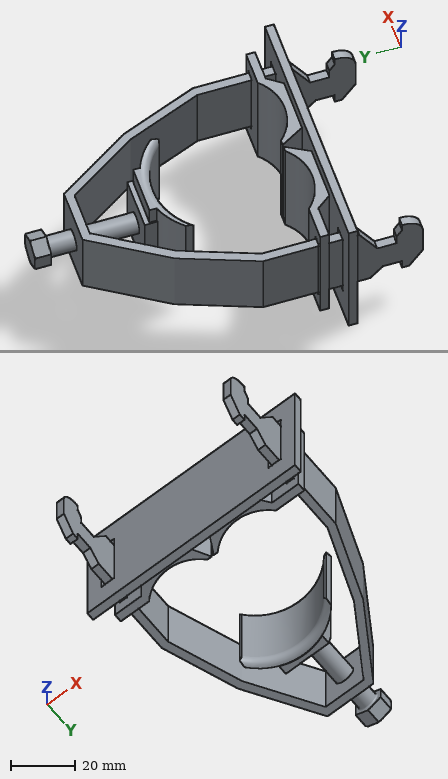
import cadquery as cq

OVERALL_LENGTH = 117.2
SHEET = 2.9

PLATE_WIDTH = 82.5
PLATE_HEIGHT = 50.0
SLOT_WIDTH = 5.0
SLOT_HEIGHT = 27.3

STRAP_HEIGHT = 25.0
STRAP_TOP = 79.3
LEG_OUTER = 34.6
LEG_CENTRE = LEG_OUTER - SHEET / 2
LOWER_BEND = (LEG_OUTER, 28.7)
UPPER_BEND = (24.8, 54.5)
CROWN_HALF_WIDTH = 9.1
HOOK_DEPTH = 23.7

UPPER_SLOPE_START = -2.8
UPPER_NECK_START = -8.7
THROAT_END = -15.0
BARB_BACK = -16.8
LOWER_BEVEL_END = -19.1
LOWER_NECK_START = -10.5
LOWER_SLOPE_START = -6.3
NECK_TOP = 2.6
THROAT_TOP = 6.1
BARB_BEVEL_TOP = 8.8
BARB_HALF_SPAN = 11.5
BARB_RADIUS = 6.1
LOWER_BEVEL_TOP = -4.8
NECK_BOTTOM = -8.0

CRADLE_HEIGHT = 40.0
CRADLE_TOP = 10.7
CRADLE_OUTER = 36.5
CRADLE_INNER = 0.4
FLANGE_ROOT = 25.9
FOOT_OUTER = 22.4
FOOT_INNER = 4.7
TROUGH_OUTER = 25.2
TROUGH_INNER = 2.1
TROUGH_BOTTOM = 5.6

BOLT_TOP = OVERALL_LENGTH - HOOK_DEPTH
HEAD_HEIGHT = 5.4
HEAD_CORNERS = 11.5
SHAFT_DIAMETER = 6.9
NECK_FILLET = 0.5
HEAD_BEVEL = 0.4

SADDLE_BACK = 58.8
SADDLE_HEIGHT = 33.9
SADDLE_HALF_WIDTH = 17.2
SADDLE_FRONT = 45.7
SHELL_OUTER_CROWN = 56.3
SHELL_OUTER_END = 48.3
SHELL_INNER_CROWN = 53.2
SHELL_INNER_HALF_WIDTH = 16.3
SHELL_EDGE_RADIUS = 2.8
BLOCK_HALF_WIDTH = 8.1
BLOCK_BACK = 57.1
PAD_BOTTOM = -17.2
PAD_HALF_WIDTH = 8.5
PAD_TOP = 10.3
PAD_TAPER_START = -11.7
PAD_TAPER = 0.9


def extrude_along_z(sketch, height):
    """Extrude a sketch of the XY plane by a height centred on Z = 0."""
    return sketch.extrude(height / 2, both=True)


def box(x_range, y_range, z_range):
    """Box between the given limits."""
    size = [high - low for low, high in (x_range, y_range, z_range)]
    corner = (x_range[0], y_range[0], z_range[0])
    return cq.Workplane("XY").box(*size, centered=False).translate(corner)


def leg_slots(width):
    """Two cutters for the slots that the strap legs pass through."""
    return (
        cq.Workplane("XZ")
        .pushPoints([(-LEG_CENTRE, 0), (LEG_CENTRE, 0)])
        .rect(width, SLOT_HEIGHT)
        .extrude(STRAP_TOP, both=True)
    )


def make_plate():
    plate = box(
        (-PLATE_WIDTH / 2, PLATE_WIDTH / 2),
        (0, SHEET),
        (-PLATE_HEIGHT / 2, PLATE_HEIGHT / 2),
    )
    return plate.cut(leg_slots(SLOT_WIDTH))


def strap_side_outline():
    """Side outline (Y, Z) of the whole strap, with the hook at its lower end."""
    half = STRAP_HEIGHT / 2
    tip_end = -HOOK_DEPTH
    return (
        cq.Workplane("YZ")
        .moveTo(STRAP_TOP, half)
        .lineTo(UPPER_SLOPE_START, half)
        .lineTo(UPPER_NECK_START, NECK_TOP)
        .lineTo(THROAT_END, NECK_TOP)
        .lineTo(THROAT_END, THROAT_TOP)
        .lineTo(BARB_BACK, BARB_BEVEL_TOP)
        .lineTo(BARB_BACK, BARB_HALF_SPAN)
        .lineTo(tip_end + BARB_RADIUS, BARB_HALF_SPAN)
        .radiusArc((tip_end, BARB_HALF_SPAN - BARB_RADIUS), -BARB_RADIUS)
        .lineTo(tip_end, LOWER_BEVEL_TOP)
        .lineTo(LOWER_BEVEL_END, -BARB_HALF_SPAN)
        .lineTo(BARB_BACK, -BARB_HALF_SPAN)
        .lineTo(BARB_BACK, NECK_BOTTOM)
        .lineTo(LOWER_NECK_START, NECK_BOTTOM)
        .lineTo(LOWER_SLOPE_START, -half)
        .lineTo(STRAP_TOP, -half)
        .close()
    )


def make_strap():
    legs_end = -HOOK_DEPTH - 2 * SHEET
    right_side = [
        (CROWN_HALF_WIDTH, STRAP_TOP),
        UPPER_BEND,
        LOWER_BEND,
        (LEG_OUTER, legs_end),
    ]
    left_side = [(-x, y) for x, y in reversed(right_side)]
    outline = cq.Workplane("XY").polyline(left_side + right_side).close()
    outer = extrude_along_z(outline, STRAP_HEIGHT)
    inner = extrude_along_z(outline.toPending().offset2D(-SHEET, "intersection"), STRAP_HEIGHT)
    side_blank = strap_side_outline().extrude(LEG_OUTER, both=True)
    bolt_hole = (
        cq.Workplane("XZ", origin=(0, STRAP_TOP, 0))
        .circle(SHAFT_DIAMETER / 2)
        .extrude(SHEET)
    )
    return outer.cut(inner).intersect(side_blank).cut(bolt_hole)


def make_cradle(side):
    """Cradle on the +X side (side = 1) or on the -X side (side = -1)."""
    trough_middle = (TROUGH_OUTER + TROUGH_INNER) / 2
    outline = (
        cq.Workplane("XY")
        .moveTo(side * CRADLE_OUTER, CRADLE_TOP)
        .lineTo(side * TROUGH_OUTER, CRADLE_TOP)
        .threePointArc((side * trough_middle, TROUGH_BOTTOM), (side * TROUGH_INNER, CRADLE_TOP))
        .lineTo(side * CRADLE_INNER, CRADLE_TOP)
        .lineTo(side * FOOT_INNER, SHEET)
        .lineTo(side * FOOT_OUTER, SHEET)
        .lineTo(side * FLANGE_ROOT, CRADLE_TOP - SHEET)
        .lineTo(side * CRADLE_OUTER, CRADLE_TOP - SHEET)
        .close()
    )
    return extrude_along_z(outline, CRADLE_HEIGHT).cut(leg_slots(SHEET))


def make_bolt():
    head = (
        cq.Workplane("XZ", origin=(0, BOLT_TOP, 0))
        .polygon(6, HEAD_CORNERS)
        .extrude(HEAD_HEIGHT)
        .rotate((0, 0, 0), (0, 1, 0), 30)
    )
    bevelled_disc = (
        cq.Workplane("XZ", origin=(0, BOLT_TOP, 0))
        .circle(HEAD_CORNERS / 2)
        .extrude(HEAD_HEIGHT)
        .faces(">Y")
        .chamfer(HEAD_BEVEL)
    )
    head = head.intersect(bevelled_disc)

    head_bottom = BOLT_TOP - HEAD_HEIGHT
    shaft = (
        cq.Workplane("XZ", origin=(0, head_bottom, 0))
        .circle(SHAFT_DIAMETER / 2)
        .extrude(head_bottom - SADDLE_BACK)
    )
    neck_circle = cq.selectors.NearestToPointSelector((0, head_bottom, 0))
    return head.union(shaft).edges(neck_circle).fillet(NECK_FILLET)


def shell_back_curve():
    """Open arc along the back surface of the saddle shell."""
    return (
        cq.Workplane("XY")
        .moveTo(-SADDLE_HALF_WIDTH, SHELL_OUTER_END)
        .threePointArc((0, SHELL_OUTER_CROWN), (SADDLE_HALF_WIDTH, SHELL_OUTER_END))
    )


def make_saddle():
    shell = extrude_along_z(
        shell_back_curve()
        .lineTo(SADDLE_HALF_WIDTH, SADDLE_FRONT)
        .lineTo(SHELL_INNER_HALF_WIDTH, SADDLE_FRONT)
        .threePointArc((0, SHELL_INNER_CROWN), (-SHELL_INNER_HALF_WIDTH, SADDLE_FRONT))
        .lineTo(-SADDLE_HALF_WIDTH, SADDLE_FRONT)
        .close(),
        SADDLE_HEIGHT,
    )
    hollow_edges = cq.selectors.RadiusNthSelector(0)
    shell = shell.edges("%CIRCLE").edges(hollow_edges).fillet(SHELL_EDGE_RADIUS)

    block = box(
        (-BLOCK_HALF_WIDTH, BLOCK_HALF_WIDTH),
        (SHELL_OUTER_END, BLOCK_BACK),
        (PAD_TOP, SADDLE_HEIGHT / 2),
    )

    pad = (
        cq.Workplane("YZ")
        .moveTo(SHELL_OUTER_END, PAD_TOP)
        .lineTo(SADDLE_BACK, PAD_TOP)
        .lineTo(SADDLE_BACK, PAD_TAPER_START)
        .lineTo(SADDLE_BACK - PAD_TAPER, PAD_BOTTOM)
        .lineTo(SHELL_OUTER_END, PAD_BOTTOM)
        .close()
        .extrude(PAD_HALF_WIDTH, both=True)
    )

    under_shell = extrude_along_z(shell_back_curve().close(), -2 * PAD_BOTTOM)
    return shell.union(block.union(pad).cut(under_shell))


plate = make_plate()
strap = make_strap()
cradles = [make_cradle(side) for side in (-1, 1)]
bolt = make_bolt()
saddle = make_saddle()

bodies = [plate, strap, *cradles, bolt, saddle]
result = cq.Compound.makeCompound([body.solids().val() for body in bodies])